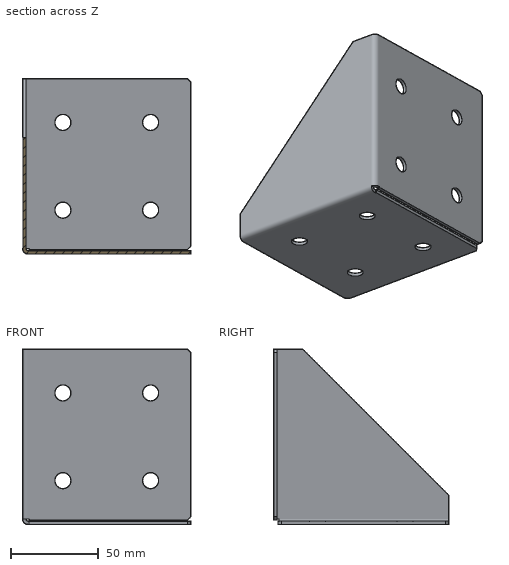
import cadquery as cq

width = 96.0
size = 100.0

thickness = 2.0
inner_bend_radius = 1.0
outer_bend_radius = inner_bend_radius + thickness

flange_gap = 0.5
flange_start = thickness + flange_gap
relief_width = 3.8
relief_depth = outer_bend_radius

corner_chamfer = 2.0
hole_diameter = 9.0
hole_spacing = 50.0

web_end = 16.6


def angle_profile():
    """L-shaped sheet section in XY: web along Y, rounded bend, flange along X."""
    return (
        cq.Workplane("XY")
        .moveTo(0, size)
        .lineTo(0, outer_bend_radius)
        .radiusArc((outer_bend_radius, 0), -outer_bend_radius)
        .lineTo(width, 0)
        .lineTo(width, thickness)
        .lineTo(outer_bend_radius, thickness)
        .radiusArc((thickness, outer_bend_radius), inner_bend_radius)
        .lineTo(thickness, size)
        .close()
    )


def bent_angle():
    """Web and front flange, with the bend relief, chamfers and holes of the flange."""
    angle = angle_profile().extrude(size - flange_start).translate((0, 0, flange_start))
    relief = cq.Workplane("XY").box(relief_width, size, relief_depth, centered=False)
    angle = angle.edges("|Y").edges(">X").chamfer(corner_chamfer).cut(relief)
    holes = (
        cq.Workplane("XZ")
        .center(width / 2, size / 2)
        .rarray(hole_spacing, hole_spacing, 2, 2)
        .circle(hole_diameter / 2)
        .extrude(-thickness)
    )
    return angle.cut(holes)


def swap_y_and_z(body):
    """Mirror a body in the plane Y = Z."""
    return body.mirror("XY").rotate((0, 0, 0), (1, 0, 0), 90)


def slant_cut():
    """Triangular prism that removes the far upper corner of the web."""
    return (
        cq.Workplane("YZ")
        .moveTo(web_end, size)
        .lineTo(size, size)
        .lineTo(size, web_end)
        .close()
        .extrude(thickness)
    )


front_angle = bent_angle()
bottom_angle = swap_y_and_z(front_angle)
result = front_angle.union(bottom_angle).cut(slant_cut())